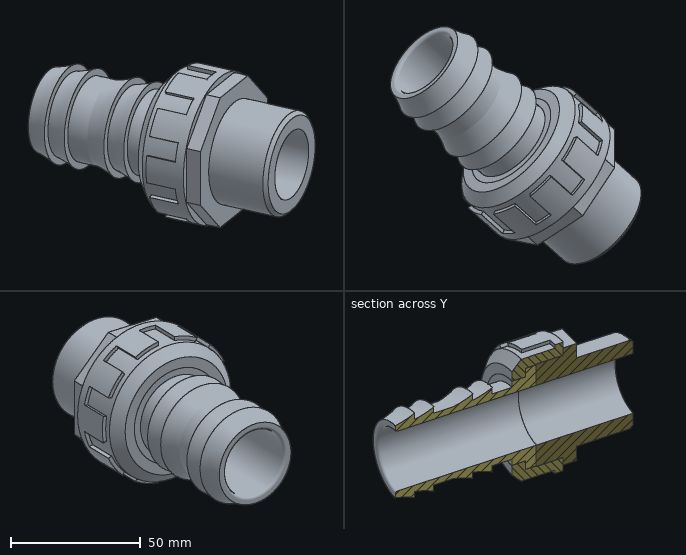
import cadquery as cq
import math

barb_pitch = 8.65
tail_pitches = 6
nut_face = tail_pitches * barb_pitch
nut_cone_end = nut_face + 4.15
slot_start = nut_face + 6.6
slot_end = slot_start + 12.5
nut_end = slot_end + 3.8
octagon_end = nut_end + 6.05
total_length = 106.0

bore_radius = 14.0
bore_entry_fillet = 1.25
pipe_radius = 17.1
barb_radius = 20.0
barb_sag = 0.3
barb_pitches = (0, 1, 3, 4)
collar_radius = 20.0
flange_radius = 24.0
flange_length = 5.0

nut_radius = 30.5
nut_face_radius = 24.4
slot_floor_radius = 28.9
nut_lip = 6.0
slot_count = 10
slot_pitch = 360 / slot_count
slot_width = 7.6
rib_root_radius = 27.0

octagon_sides = 8
octagon_across_flats = 55.4
spigot_radius = 21.0
spigot_chamfer = 1.5

flange_start = nut_face + nut_lip
flange_end = flange_start + flange_length


def tube(start, end, outer, inner):
    """Round tube along X between two stations."""
    return (
        cq.Workplane("YZ", origin=(start, 0, 0))
        .circle(outer)
        .circle(inner)
        .extrude(end - start)
    )


def barb(start):
    """Ring with a slightly hollow flank that rises to a sharp shoulder."""
    end = start + barb_pitch
    middle_x = (start + end) / 2
    middle_radius = (pipe_radius + barb_radius) / 2 - barb_sag
    return (
        cq.Workplane("XY")
        .moveTo(start, bore_radius)
        .lineTo(start, pipe_radius)
        .threePointArc((middle_x, middle_radius), (end, barb_radius))
        .lineTo(end, bore_radius)
        .close()
        .revolve(360, (0, 0, 0), (1, 0, 0))
    )


def make_hose_tail():
    """Barbed pipe with a collar in the nut mouth and a flange behind the nut lip."""
    tail = tube(0, nut_face, pipe_radius, bore_radius)
    for pitches in barb_pitches:
        tail = tail.union(barb(pitches * barb_pitch))
    tail = tail.union(tube(nut_face, flange_start, collar_radius, bore_radius))
    tail = tail.union(tube(flange_start, flange_end, flange_radius, bore_radius))
    bore_entry = cq.selectors.RadiusNthSelector(0)
    return tail.faces("<X").edges(bore_entry).fillet(bore_entry_fillet)


def make_grip_ribs():
    """Ring of ribs rooted below the slot floor and parted by slots with parallel walls."""
    ribs = tube(slot_start, slot_end, nut_radius, rib_root_radius)
    for index in range(slot_count):
        slot = (
            cq.Workplane("YZ", origin=(slot_start, 0, 0))
            .center(nut_radius, 0)
            .rect(nut_radius, slot_width)
            .extrude(slot_end - slot_start)
            .rotate((0, 0, 0), (1, 0, 0), (index + 0.5) * slot_pitch)
        )
        ribs = ribs.cut(slot)
    return ribs


def make_union_nut():
    """Coned nut with grip ribs, hollow to take the tail flange and the adapter sleeve."""
    shell = (
        cq.Workplane("XY")
        .moveTo(nut_face, collar_radius)
        .lineTo(nut_face, nut_face_radius)
        .lineTo(nut_cone_end, slot_floor_radius)
        .lineTo(slot_end, slot_floor_radius)
        .lineTo(slot_end, nut_radius)
        .lineTo(nut_end, nut_radius)
        .lineTo(nut_end, flange_radius)
        .lineTo(flange_start, flange_radius)
        .lineTo(flange_start, collar_radius)
        .close()
        .revolve(360, (0, 0, 0), (1, 0, 0))
    )
    return shell.union(make_grip_ribs())


def make_adapter():
    """Octagon with a sleeve into the nut on one side and a chamfered spigot on the other."""
    half_side_angle = 180 / octagon_sides
    across_corners = octagon_across_flats / math.cos(math.radians(half_side_angle))
    octagon = (
        cq.Workplane("YZ", origin=(nut_end, 0, 0))
        .transformed(rotate=(0, 0, half_side_angle))
        .polygon(octagon_sides, across_corners)
        .circle(bore_radius)
        .extrude(octagon_end - nut_end)
    )
    sleeve = tube(flange_end, nut_end, flange_radius, bore_radius)
    spigot = (
        tube(octagon_end, total_length, spigot_radius, bore_radius)
        .faces(">X")
        .edges(cq.selectors.RadiusNthSelector(-1))
        .chamfer(spigot_chamfer)
    )
    return octagon.union(sleeve).union(spigot)


hose_tail = make_hose_tail()
union_nut = make_union_nut()
adapter = make_adapter()

result = cq.Compound.makeCompound([hose_tail.val(), union_nut.val(), adapter.val()])